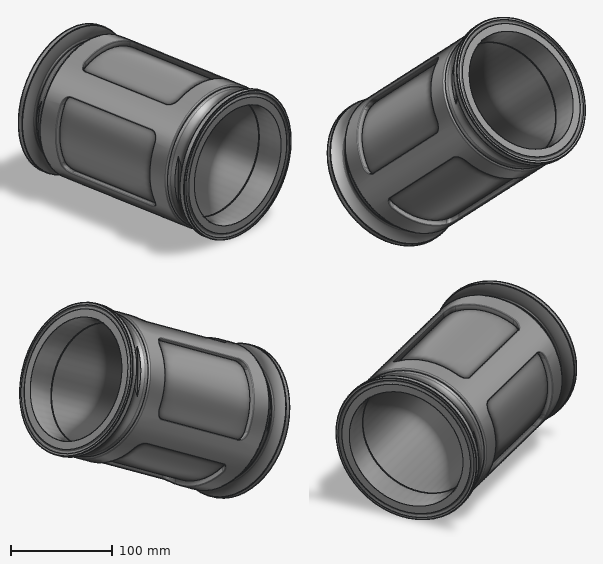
import cadquery as cq
import math

length = 225.0
half_length = length / 2
bore_radius = 62.5

glass_radius = 69.3
gasket_offset = 29.5
gasket_thickness = 1.1

housing_radius = 75.0
housing_offset = 26.5
housing_fillet = 1.5
half_housing = half_length - housing_offset
window_length = 127.0
window_width = 82.0
window_corner_radius = 9.0
window_fillet = 0.7
window_angles = (0, 90)

flange_radius = 77.51
rim_chamfer = 0.5
clamp_angle = 20.0
neck_radius = 64.4
neck_start = 11.7
neck_fillet = 1.8

shoulder_radius = 73.0
shoulder_fillet = 5.6
cone_angle = 35.0

flat_end = 19.8
flat_offset = 64.5

groove_inner_radius = 70.6
groove_outer_radius = 75.0
groove_wall_run = 1.0
groove_wall_depth = 0.7
groove_depth = 1.4

tolerance = 0.002


def tube(start, end, outer_radius, inner_radius):
    """Plain tube along X between two positions."""
    section = cq.Workplane("YZ", origin=(start, 0, 0)).circle(outer_radius).circle(inner_radius)
    return section.extrude(end - start)


def revolve_about_x(profile):
    return profile.close().revolve(360, (0, 0, 0), (1, 0, 0))


def make_glass():
    half_glass = half_length - gasket_offset - gasket_thickness
    return tube(-half_glass, half_glass, glass_radius, bore_radius)


def make_gasket():
    start = gasket_offset - half_length
    return tube(start, start + gasket_thickness, glass_radius, bore_radius)


def is_outer_window_edge(edge):
    """True for an edge that lies on the outer cylinder, away from the housing ends."""
    points = edge.positions([0, 0.25, 0.5])
    on_outer_cylinder = all(
        abs(math.hypot(point.y, point.z) - housing_radius) < tolerance for point in points
    )
    return on_outer_cylinder and abs(edge.Center().x) < half_housing - 2 * housing_fillet


def make_housing():
    housing = tube(-half_housing, half_housing, housing_radius, glass_radius)
    outer_rims = cq.selectors.RadiusNthSelector(-1)
    housing = housing.edges("%CIRCLE").edges(outer_rims).fillet(housing_fillet)

    window_bar = cq.Workplane("XY").box(window_length, window_width, 3 * housing_radius)
    window_bar = window_bar.edges("|Z").fillet(window_corner_radius)
    for angle in window_angles:
        housing = housing.cut(window_bar.rotate((0, 0, 0), (1, 0, 0), angle))

    window_edges = [edge for edge in housing.edges().vals() if is_outer_window_edge(edge)]
    return housing.newObject(window_edges).fillet(window_fillet)


def make_ferrule_blank():
    """Clamp flange, neck, cone and shoulder, with the clamp face at X = 0."""
    clamp = math.radians(clamp_angle)
    flange_back_end = neck_start - neck_fillet * math.cos(clamp)
    flange_back_radius = neck_radius + neck_fillet * (1 - math.sin(clamp))
    rim_edge_radius = flange_radius - rim_chamfer
    rim_thickness = flange_back_end - (rim_edge_radius - flange_back_radius) * math.tan(clamp)

    cone = math.radians(cone_angle)
    cone_end = housing_offset - shoulder_fillet * math.sin(cone)
    cone_end_radius = shoulder_radius - shoulder_fillet * (1 - math.cos(cone))
    neck_end = cone_end - (cone_end_radius - neck_radius) / math.tan(cone)

    profile = (
        cq.Workplane("XY")
        .moveTo(0, bore_radius)
        .lineTo(0, rim_edge_radius)
        .lineTo(rim_chamfer, flange_radius)
        .lineTo(rim_thickness - rim_chamfer, flange_radius)
        .lineTo(rim_thickness, rim_edge_radius)
        .lineTo(flange_back_end, flange_back_radius)
        .tangentArcPoint((neck_start, neck_radius), relative=False)
        .lineTo(neck_end, neck_radius)
        .lineTo(cone_end, cone_end_radius)
        .tangentArcPoint((housing_offset, shoulder_radius), relative=False)
        .lineTo(housing_offset, glass_radius)
        .lineTo(gasket_offset, glass_radius)
        .lineTo(gasket_offset, bore_radius)
    )
    return revolve_about_x(profile)


def make_seal_groove():
    middle_radius = (groove_inner_radius + groove_outer_radius) / 2
    profile = (
        cq.Workplane("XY")
        .moveTo(0, groove_inner_radius)
        .lineTo(groove_wall_depth, groove_inner_radius + groove_wall_run)
        .threePointArc(
            (groove_depth, middle_radius),
            (groove_wall_depth, groove_outer_radius - groove_wall_run),
        )
        .lineTo(0, groove_outer_radius)
    )
    return revolve_about_x(profile)


def make_flat_cutter(side):
    """Block that removes the cone beyond one flat; side is +1 or -1 along Y."""
    cut_length = flat_end - neck_start
    cut_depth = shoulder_radius - flat_offset
    block = cq.Workplane("XY").box(cut_length, cut_depth, 2 * shoulder_radius)
    return block.translate((neck_start + cut_length / 2, side * (flat_offset + cut_depth / 2), 0))


def make_ferrule():
    ferrule = make_ferrule_blank().cut(make_seal_groove())
    for side in (-1, 1):
        ferrule = ferrule.cut(make_flat_cutter(side))
    return ferrule.translate((-half_length, 0, 0))


housing = make_housing()
glass = make_glass()
bodies = [housing, glass]

for end_body in (make_gasket(), make_ferrule()):
    bodies.append(end_body)
    bodies.append(end_body.mirror("YZ"))

result = cq.Compound.makeCompound([body.val() for body in bodies])